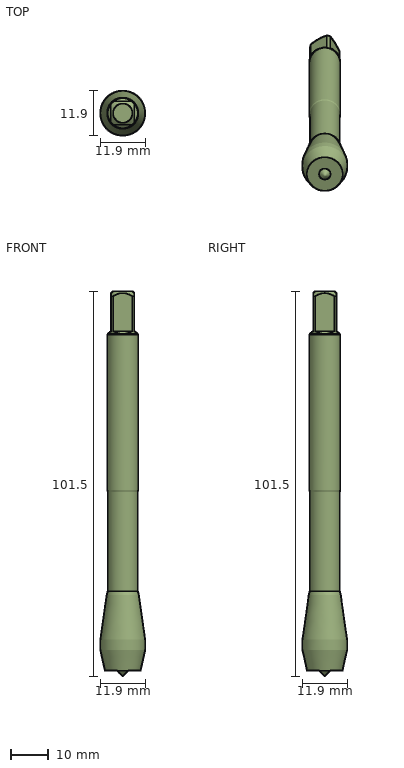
import cadquery as cq

overall_length = 101.5
tip_height = 1.5
nose_top = 6.9
band_top = 9.6
collar_top = 22.4
neck_top = 49.0
shoulder = 90.2

tip_diameter = 3.0
nose_diameter = 9.4
head_diameter = 11.9
collar_base_diameter = 8.5
neck_diameter = 7.9
shank_diameter = 8.2

square_width = 6.2
corner_diameter = 7.9
top_face_diameter = 5.1
top_chamfer_height = 1.3
runout_height = 0.7

collar_height = 1.0
neck_step_height = 0.5
shoulder_bevel_height = 0.3


def revolve_profile(points):
    """Turn a closed (radius, height) outline about the Z axis."""
    return cq.Workplane("XZ").polyline(points).close().revolve(360, (0, 0), (0, 1))


def make_head():
    """Pointed tip, conical nose, cylindrical band and a taper rounded over onto the neck."""
    outline = (
        cq.Workplane("XZ")
        .lineTo(tip_diameter / 2, tip_height)
        .lineTo(nose_diameter / 2, tip_height)
        .lineTo(head_diameter / 2, nose_top)
        .lineTo(head_diameter / 2, band_top)
        .lineTo(collar_base_diameter / 2, collar_top - collar_height)
        .tangentArcPoint((neck_diameter / 2, collar_top), relative=False)
        .lineTo(0, collar_top)
        .close()
    )
    return outline.revolve(360, (0, 0), (0, 1))


def make_flat_pair():
    """Slab between two opposite flats, which slope outward at the foot to reach the corner radius."""
    half_width = square_width / 2
    foot = corner_diameter / 2
    half_outline = (
        cq.Workplane("XZ", origin=(0, 0, shoulder))
        .moveTo(0, overall_length - shoulder)
        .lineTo(half_width, overall_length - shoulder)
        .lineTo(half_width, runout_height)
        .lineTo(foot, 0)
        .lineTo(0, 0)
        .close()
    )
    half_slab = half_outline.extrude(foot, both=True)
    return half_slab.union(half_slab.mirror("YZ"))


def make_shank():
    """Stepped round shank with a square drive at its upper end."""
    lower = revolve_profile([
        (0, collar_top),
        (neck_diameter / 2, collar_top),
        (neck_diameter / 2, neck_top - neck_step_height),
        (shank_diameter / 2, neck_top),
        (shank_diameter / 2, shoulder - shoulder_bevel_height),
        (corner_diameter / 2, shoulder),
        (0, shoulder),
    ])
    drive_blank = revolve_profile([
        (0, shoulder),
        (corner_diameter / 2, shoulder),
        (corner_diameter / 2, overall_length - top_chamfer_height),
        (top_face_diameter / 2, overall_length),
        (0, overall_length),
    ])
    flats = make_flat_pair()
    crossing_flats = flats.rotate((0, 0, 0), (0, 0, 1), 90)
    drive = drive_blank.intersect(flats).intersect(crossing_flats)
    return lower.union(drive)


head = make_head()
shank = make_shank()
result = cq.Compound.makeCompound([head.val(), shank.val()])